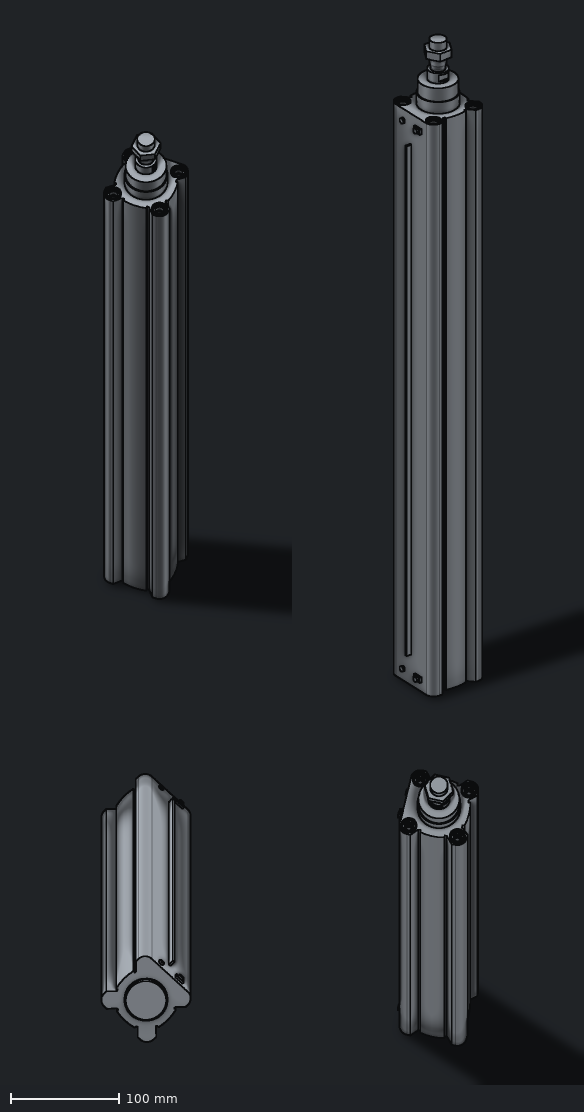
import cadquery as cq
import math

TOTAL_HEIGHT = 678.0
BODY_BOTTOM = 4.0
BODY_TOP = 609.5
COLLAR_STEP_Z = 621.5
COLLAR_TOP = 636.0
ROD_SHOULDER_Z = 646.5
THREAD_BOTTOM = 648.5
NUT_BOTTOM = 661.0
NUT_THICKNESS = 8.0

BODY_HALF = 32.0
BOLT_OFFSET = 23.0
LOBE_RADIUS = BODY_HALF - BOLT_OFFSET
FLANK_START = 19.5
FLANK_END = 13.5
VALLEY_LEVEL = 25.0
PANEL_HALF = 11.5
PANEL_EDGE_LEVEL = 27.0
PANEL_MIDDLE_LEVEL = 28.5

COLLAR_DIAMETER = 40.0
UPPER_COLLAR_DIAMETER = 38.0
COLLAR_CHAMFER = 1.5

BOLT_RECESS_STEPS = ((14.0, 1.5), (11.5, 3.0), (8.0, 8.0), (5.5, 13.5))

RAIL_REACH = 37.0
RAIL_WIDTH = 2.0
RAIL_BOTTOM = 37.0
RAIL_TOP = 577.0
PORT_DIAMETER = 5.5
PORT_OFFSET = 11.5
TALL_PORT_REACH = 36.0
LOW_REACH = 34.0
PAD_WIDTH = 9.5
PORT_HEIGHTS = (17.0, 597.0)
EMBED = 2.0

ROD_DIAMETER = 20.0
FLATS_ACROSS = 17.0
FLATS_HEIGHT = 7.0
FLATS_CLEARANCE = 2.0
FLATS_BOTTOM = COLLAR_TOP + FLATS_CLEARANCE
NECK_DIAMETER = 14.0
THREAD_DIAMETER = 16.0
RELIEF_HEIGHT = 4.0

NUT_ACROSS_FLATS = 24.0
NUT_TURN = 30.0


def disc(diameter, bottom, top, center=(0, 0)):
    """A cylinder along Z between two heights."""
    plane = cq.Workplane("XY", origin=(*center, bottom))
    return plane.circle(diameter / 2).extrude(top - bottom)


def trace_side(profile, quarter_turns, is_flat):
    """Continue the outline along one side and round the lobe at its end."""
    cosine = round(math.cos(quarter_turns * math.pi / 2))
    sine = round(math.sin(quarter_turns * math.pi / 2))

    def place(along, outward):
        return (along * cosine + outward * sine, along * sine - outward * cosine)

    if not is_flat:
        profile = (
            profile.lineTo(*place(-FLANK_START, BODY_HALF))
            .lineTo(*place(-FLANK_END, VALLEY_LEVEL))
            .lineTo(*place(-PANEL_HALF, VALLEY_LEVEL))
            .lineTo(*place(-PANEL_HALF, PANEL_EDGE_LEVEL))
            .threePointArc(place(0, PANEL_MIDDLE_LEVEL), place(PANEL_HALF, PANEL_EDGE_LEVEL))
            .lineTo(*place(PANEL_HALF, VALLEY_LEVEL))
            .lineTo(*place(FLANK_END, VALLEY_LEVEL))
            .lineTo(*place(FLANK_START, BODY_HALF))
        )
    profile = profile.lineTo(*place(BOLT_OFFSET, BODY_HALF))
    lobe_middle = BOLT_OFFSET + LOBE_RADIUS * math.sqrt(0.5)
    return profile.threePointArc(place(lobe_middle, lobe_middle), place(BODY_HALF, BOLT_OFFSET))


def make_body():
    """The long profile: three grooved sides and a flat back."""
    profile = cq.Workplane("XY", origin=(0, 0, BODY_BOTTOM)).moveTo(-BOLT_OFFSET, -BODY_HALF)
    back_side = 2
    for side in range(4):
        profile = trace_side(profile, side, is_flat=side == back_side)
    return profile.close().extrude(BODY_TOP - BODY_BOTTOM)


def make_collars():
    lower = disc(COLLAR_DIAMETER, 0, COLLAR_STEP_Z).faces("<Z").chamfer(COLLAR_CHAMFER)
    return lower.union(disc(UPPER_COLLAR_DIAMETER, COLLAR_STEP_Z, COLLAR_TOP))


def back_block(width, bottom, top, reach):
    """A block standing on the middle of the back face."""
    start = BODY_HALF - EMBED
    plane = cq.Workplane("XY", origin=(0, start, bottom))
    return plane.box(width, reach - start, top - bottom, centered=(True, False, False))


def back_port(x, z, reach):
    """A round boss standing on the back face."""
    start = BODY_HALF - EMBED
    plane = cq.Workplane("XZ", origin=(x, start, z))
    return plane.circle(PORT_DIAMETER / 2).extrude(start - reach)


def make_back_details():
    details = back_block(RAIL_WIDTH, RAIL_BOTTOM, RAIL_TOP, RAIL_REACH)
    for z in PORT_HEIGHTS:
        pad = back_block(PAD_WIDTH, z - PORT_DIAMETER / 2, z + PORT_DIAMETER / 2, LOW_REACH)
        details = details.union(pad.translate((-PORT_OFFSET, 0, 0)))
        details = details.union(back_port(-PORT_OFFSET, z, TALL_PORT_REACH))
        details = details.union(back_port(PORT_OFFSET, z, LOW_REACH))
    return details


def cut_bolt_recesses(housing):
    for x in (-BOLT_OFFSET, BOLT_OFFSET):
        for y in (-BOLT_OFFSET, BOLT_OFFSET):
            for diameter, depth in BOLT_RECESS_STEPS:
                housing = housing.cut(disc(diameter, BODY_TOP - depth, BODY_TOP, (x, y)))
    return housing


def make_housing():
    housing = make_body().union(make_collars()).union(make_back_details())
    housing = cut_bolt_recesses(housing)
    return housing.cut(disc(ROD_DIAMETER, BODY_TOP, COLLAR_TOP))


def make_rod():
    rod = disc(ROD_DIAMETER, BODY_TOP, ROD_SHOULDER_Z)
    flat_region = disc(ROD_DIAMETER, FLATS_BOTTOM, FLATS_BOTTOM + FLATS_HEIGHT)
    side_waste = flat_region.cut(cq.Workplane("XY").box(FLATS_ACROSS, ROD_DIAMETER, 2 * TOTAL_HEIGHT))
    neck = disc(NECK_DIAMETER, ROD_SHOULDER_Z, THREAD_BOTTOM)
    thread = disc(THREAD_DIAMETER, THREAD_BOTTOM, TOTAL_HEIGHT)
    relief_inset = (THREAD_DIAMETER - NECK_DIAMETER) / 2
    thread = thread.faces("<Z").chamfer(RELIEF_HEIGHT, relief_inset)
    return rod.cut(side_waste).union(neck).union(thread)


def make_nut():
    across_corners = NUT_ACROSS_FLATS / math.cos(math.pi / 6)
    nut = cq.Workplane("XY", origin=(0, 0, NUT_BOTTOM))
    nut = nut.polygon(6, across_corners).circle(THREAD_DIAMETER / 2).extrude(NUT_THICKNESS)
    return nut.rotate((0, 0, 0), (0, 0, 1), NUT_TURN)


housing = make_housing()
rod = make_rod()
nut = make_nut()
result = cq.Compound.makeCompound([housing.val(), rod.val(), nut.val()])